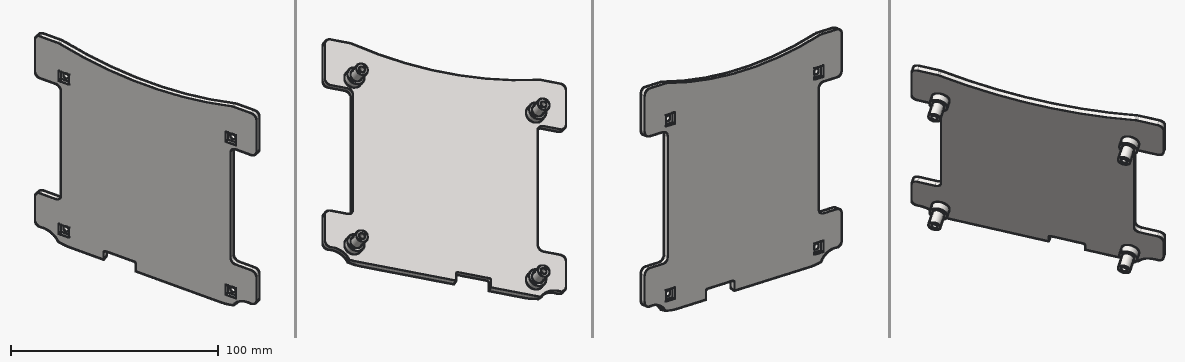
import cadquery as cq
import math

width = 126.0
height = 118.5
thickness = 3.0
half_width = width / 2
top_z = height / 2
bottom_z = -height / 2

waist_half_width = 48.3
upper_arm_bottom_z = 34.4
lower_arm_top_z = -33.6
arm_radius = 3.0

top_arc_half_width = 49.4
top_arc_depth = 6.2
top_arc_blend_radius = 4.0

cove_center_x = 58.2
cove_center_z = -63.0
cove_radius = 9.6
cove_lean = 0.5

bottom_flat_half_width = 42.8
bottom_end_half_width = 49.1
bottom_end_rise = 0.8
bottom_bevel_rise = 0.6

notch_left_x = -23.8
notch_right_x = -5.7
notch_top_z = -53.8
notch_radius = 1.0

post_xs = (-46.5, 48.4)
post_zs = (-50.7, 39.8)
boss_diameter = 9.0
boss_height = 4.0
pin_diameter = 6.0
post_tip_y = 14.5
hole_diameter = 3.0
pocket_size = 5.8
pocket_depth = 2.0


def front_plane(y=0.0):
    """Workplane at depth y: local X is +X, local Y is +Z, and extrusion goes towards -Y."""
    return cq.Workplane("XZ", origin=(0, y, 0))


def vertical_box(left, right, low, high):
    """Block through the plate thickness between the given X and Z limits."""
    block = cq.Workplane("XY").box(right - left, thickness, high - low, centered=False)
    return block.translate((left, 0, low))


def fillet_at(body, points, radius):
    """Round the thickness-direction edges that pass through the given (x, z) points."""
    for x, z in points:
        edge = cq.selectors.NearestToPointSelector((x, thickness / 2, z))
        body = body.edges("|Y").edges(edge).fillet(radius)
    return body


def make_plate():
    """Plate with the top arc, the side recesses and rounded arms."""
    plate = vertical_box(-half_width, half_width, bottom_z, top_z)
    top_arc = (
        front_plane(thickness)
        .moveTo(-top_arc_half_width, top_z)
        .threePointArc((0, top_z - top_arc_depth), (top_arc_half_width, top_z))
        .close()
        .extrude(thickness)
    )
    plate = plate.cut(top_arc)
    for left, right in ((-half_width, -waist_half_width), (waist_half_width, half_width)):
        plate = plate.cut(vertical_box(left, right, lower_arm_top_z, upper_arm_bottom_z))

    for side in (-1, 1):
        outer_x = side * half_width
        waist_x = side * waist_half_width
        arm_corners = [(outer_x, top_z)]
        for z in (upper_arm_bottom_z, lower_arm_top_z):
            arm_corners += [(outer_x, z), (waist_x, z)]
        plate = fillet_at(plate, arm_corners, arm_radius)
        plate = fillet_at(plate, [(side * top_arc_half_width, top_z)], top_arc_blend_radius)
    return plate


def shape_bottom_edge(plate):
    """Raise the ends of the bottom edge and bevel it towards the back."""
    end_z = bottom_z + bottom_end_rise
    arc_run = bottom_end_half_width - bottom_flat_half_width
    arc_mid_x = bottom_flat_half_width + arc_run / 2
    arc_mid_z = bottom_z + bottom_end_rise / 4
    for side in (-1, 1):
        end_cut = (
            front_plane(thickness)
            .moveTo(side * bottom_flat_half_width, bottom_z)
            .threePointArc((side * arc_mid_x, arc_mid_z), (side * bottom_end_half_width, end_z))
            .lineTo(side * half_width, end_z)
            .lineTo(side * half_width, bottom_z)
            .close()
            .extrude(thickness)
        )
        plate = plate.cut(end_cut)
    bevel = (
        cq.Workplane("YZ", origin=(-half_width, 0, 0))
        .moveTo(0, bottom_z)
        .lineTo(thickness, bottom_z + bottom_bevel_rise)
        .lineTo(thickness, bottom_z)
        .close()
        .extrude(width)
    )
    return plate.cut(bevel)


def cut_coves(plate):
    """Cut each bottom corner with a leaning cylinder, then round the arm corner left beside it."""
    arm_corner_z = cove_center_z + math.sqrt(cove_radius**2 - (half_width - cove_center_x) ** 2)
    for side in (-1, 1):
        axis = cq.Vector(side * cove_lean, thickness, 0)
        front_center = cq.Vector(side * cove_center_x, 0, cove_center_z)
        cutter = cq.Solid.makeCylinder(cove_radius, 3 * axis.Length, front_center - axis, axis)
        plate = plate.cut(cq.Workplane(cutter))
        corner = (side * half_width, thickness / 2, arm_corner_z)
        plate = plate.edges(cq.selectors.NearestToPointSelector(corner)).fillet(arm_radius)
    return plate


def cut_notch(plate):
    """Cut the bottom notch with rounded upper corners."""
    notch = vertical_box(notch_left_x, notch_right_x, bottom_z, notch_top_z)
    return plate.cut(notch.edges("|Y and >Z").fillet(notch_radius))


def add_post(body, x, z):
    """Add a stepped post on the back face, then cut its through hole and front pocket."""
    boss_tip_y = thickness + boss_height
    boss = front_plane(boss_tip_y).center(x, z).circle(boss_diameter / 2).extrude(boss_height)
    pin = front_plane(post_tip_y).center(x, z).circle(pin_diameter / 2).extrude(post_tip_y - boss_tip_y)
    hole = front_plane(post_tip_y).center(x, z).circle(hole_diameter / 2).extrude(post_tip_y)
    pocket = front_plane(pocket_depth).center(x, z).rect(pocket_size, pocket_size).extrude(pocket_depth)
    return body.union(boss).union(pin).cut(hole).cut(pocket)


result = cut_notch(cut_coves(shape_bottom_edge(make_plate())))
for post_x in post_xs:
    for post_z in post_zs:
        result = add_post(result, post_x, post_z)